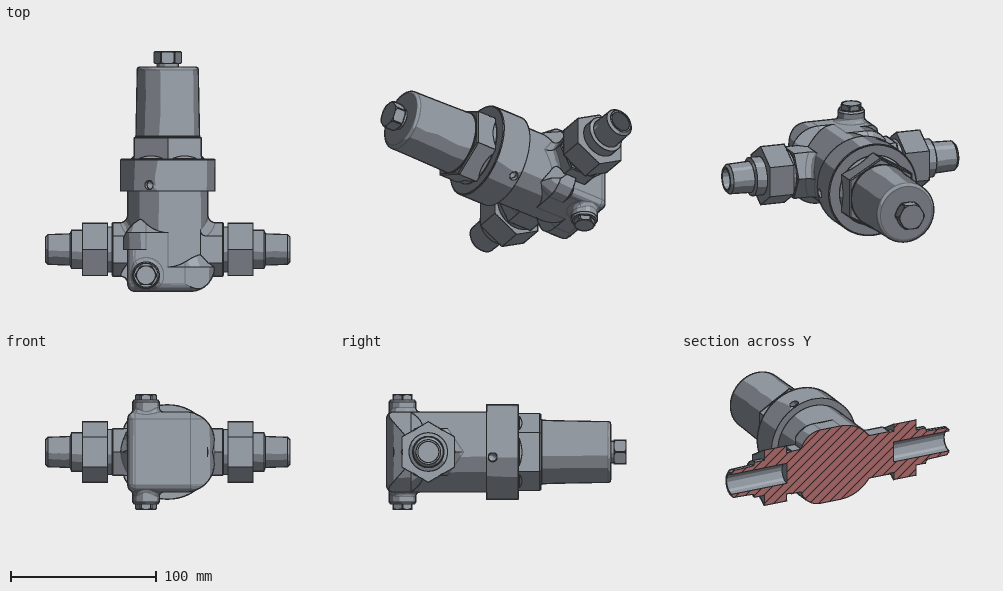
import cadquery as cq
import math


TOTAL_LENGTH_Y = 164.57

BODY_DIA = 55.0
RING_DIA = 65.0
RING_BASE_Y = 40.0
RING_TOP_Y = 62.0
RING_EDGE = 0.6
COLLAR_DIA = 49.5
COLLAR_HEIGHT = 0.5
COLLAR_SINK = 0.5
HOUSING_AF = 46.0
HOUSING_HEX_TOP_Y = 77.2
HOUSING_HEX_EDGE = 0.8
CAP_BASE_DIA = 43.8
CAP_FOOT_DIA = 44.4
CAP_FOOT_HEIGHT = 0.7
CAP_TOP_DIA = 42.0
CAP_TOP_Y = 125.2
CAP_ROUND = 2.0
STEM_DIA = 15.0
BOLT_AF = 16.8
BOLT_CORNER_DIA = 19.0
BOLT_BASE_Y = 127.5
BOLT_TOP_Y = 135.77
BOLT_EDGE = 0.8

VENT_DIA = 6.1
VENT_Y = 44.2
VENT_DEPTH = 4.0
VENT_COUNT = 3
VENT_START_ANGLE = 113.4

BODY_BOTTOM_Y = BOLT_TOP_Y - TOTAL_LENGTH_Y
HALF_DEPTH = BODY_DIA / 2
BODY_EDGE_ROUND = 5.0
INLET_BULGE_X = -31.0
INLET_BULGE_TOP_Y = 11.6
INLET_BULGE_RISE = 10.0
INLET_BULGE_ROUND = 16.0
INLET_BULGE_TAPER = 35.0
INLET_SHOULDER_Y = 6.0
INLET_SHOULDER_MID = (-26.5, 14.5)
INLET_CREST_X = -17.0
OUTLET_END_X = 32.0
OUTLET_TOP_Y = -12.0
OUTLET_RISE = 12.0
OUTLET_ROUND = 20.0
OUTLET_BOTTOM_ROUND = 16.5
OUTLET_TAPER = 38.0

TOTAL_LENGTH_X = 168.0
PORT_AF = 32.0
PORT_CHAMFER = 0.7
PORT_FILLET = 5.0
PORT_END_X = 38.3
NECK_DIA = 31.0
NUT_AF = 36.0
NUT_INNER_X = 41.2
NUT_OUTER_X = 58.6
TAIL_DIA = 26.5
TAIL_END_X = 67.0
TAIL_CONE_LENGTH = 1.1
THREAD_ROOT_DIA = 21.6
THREAD_END_DIA = 20.5
THREAD_CHAMFER = 1.8
BORE_DIA = 14.5

TOTAL_LENGTH_Z = 79.0
PLUG_X = -14.9
PLUG_Y = -17.7
BOSS_DIA = 18.3
BOSS_TOP_Z = 34.2
BOSS_FILLET = 3.0
WASHER_DIA = 16.5
WASHER_TOP_Z = 35.7
PLUG_AF = 13.0
PLUG_CORNER_DIA = 14.5
PLUG_EDGE = 0.8

JOINT_OVERLAP = 1.0
SEAM_MARGIN = 0.1
COS_30 = math.cos(math.radians(30))


def revolve_about_y(points):
    """Solid of revolution from (radius, y) points."""
    return cq.Workplane("XY").polyline(points).close().revolve(360, (0, 0), (0, 1))


def revolve_about_x(points):
    """Solid of revolution from (x, radius) points."""
    return cq.Workplane("XY").polyline(points).close().revolve(360, (0, 0), (1, 0))


def hexagon(plane, across_flats, start, end, corner_on_second_axis=False):
    """Hexagonal prism along the plane's normal, with a corner on its first or second axis."""
    prism = plane.workplane(offset=start).polygon(6, across_flats / COS_30).extrude(end - start)
    if corner_on_second_axis:
        axis = plane.plane.zDir
        prism = prism.rotate((0, 0, 0), axis.toTuple(), 90)
    return prism


def along_x():
    """Plane facing +X with Y and Z as its axes."""
    return cq.Workplane("YZ")


def along_y():
    """Plane facing +Y with Z and X as its axes."""
    return cq.Workplane("ZX")


def spring_housing():
    """Ring, hexagon, tapered cap and stem around the Y axis."""
    ring_r = RING_DIA / 2
    collar_r = COLLAR_DIA / 2
    collar_y = RING_TOP_Y + COLLAR_HEIGHT
    flat_r = HOUSING_AF / 2 - COLLAR_SINK
    cone_top_y = collar_y + collar_r - flat_r
    ring = revolve_about_y([
        (0, RING_BASE_Y), (ring_r, RING_BASE_Y),
        (ring_r, RING_TOP_Y - RING_EDGE), (ring_r - RING_EDGE, RING_TOP_Y),
        (collar_r, RING_TOP_Y), (collar_r, collar_y),
        (flat_r, cone_top_y), (0, cone_top_y),
    ])
    nut = hexagon(along_y(), HOUSING_AF, RING_TOP_Y, HOUSING_HEX_TOP_Y)
    nut = nut.faces(">Y").chamfer(HOUSING_HEX_EDGE)
    foot_y = HOUSING_HEX_TOP_Y - HOUSING_HEX_EDGE
    foot_top_y = HOUSING_HEX_TOP_Y + CAP_FOOT_HEIGHT
    cap = revolve_about_y([
        (0, foot_y), (CAP_FOOT_DIA / 2, foot_y),
        (CAP_FOOT_DIA / 2, foot_top_y), (CAP_BASE_DIA / 2, foot_top_y),
        (CAP_TOP_DIA / 2, CAP_TOP_Y), (0, CAP_TOP_Y),
    ])
    cap = cap.faces(">Y").edges().fillet(CAP_ROUND)
    stem_y = CAP_TOP_Y - JOINT_OVERLAP
    stem_length = BOLT_BASE_Y + JOINT_OVERLAP - stem_y
    stem = along_y().workplane(offset=stem_y).circle(STEM_DIA / 2).extrude(stem_length)
    return ring.union(nut).union(cap).union(stem)


def trimmed_head(head, corner_dia, start, end, edge, plane):
    """Hexagon head with its corners turned down and its end edges chamfered."""
    blank = plane.workplane(offset=start).circle(corner_dia / 2).extrude(end - start)
    return head.intersect(blank.edges().chamfer(edge))


def adjusting_bolt():
    """Hexagon head of the pressure setting bolt."""
    head = hexagon(along_y(), BOLT_AF, BOLT_BASE_Y, BOLT_TOP_Y, True)
    return trimmed_head(head, BOLT_CORNER_DIA, BOLT_BASE_Y, BOLT_TOP_Y, BOLT_EDGE, along_y())


def vent_holes():
    """Radial blind holes with a conical end around the ring."""
    radius = VENT_DIA / 2
    bottom = RING_DIA / 2 - VENT_DEPTH
    drill = revolve_about_x([
        (bottom - radius, 0), (bottom, radius), (RING_DIA, radius), (RING_DIA, 0),
    ]).translate((0, VENT_Y, 0))
    holes = cq.Workplane("XY")
    for index in range(VENT_COUNT):
        angle = VENT_START_ANGLE + index * 360 / VENT_COUNT
        holes = holes.add(drill.rotate((0, 0, 0), (0, 1, 0), -angle))
    return holes.combine()


def block(x_min, x_max, y_min, y_max):
    """Box spanning the full body depth in Z."""
    size = (x_max - x_min, y_max - y_min, 2 * HALF_DEPTH)
    centre = ((x_min + x_max) / 2, (y_min + y_max) / 2, 0)
    return cq.Workplane("XY").box(*size).translate(centre)


def rising_block(x_min, x_max, y_base, y_top, rise, taper, end_round, end_selector):
    """Block rounded at one X end, with a tapered top that runs out on the body cylinder."""
    straight = block(x_min, x_max, y_base, y_top)
    straight = straight.edges("|Y").edges(end_selector).fillet(end_round)
    crown = straight.faces(">Y").wires().toPending().workplane().extrude(rise, combine=False, taper=taper)
    return straight.union(crown)


def ported_cylinder():
    """Body cylinder with the two port hexagons blended into it."""
    bottom_y = BODY_BOTTOM_Y + BODY_EDGE_ROUND
    height = RING_BASE_Y - bottom_y
    cylinder = along_y().workplane(offset=bottom_y).circle(BODY_DIA / 2).extrude(height)
    ports = hexagon(along_x(), PORT_AF, -PORT_END_X, PORT_END_X)
    blended = cylinder.union(ports).edges("%ELLIPSE").fillet(PORT_FILLET)
    return blended.faces("<X or >X").chamfer(PORT_CHAMFER)


def inlet_bulge():
    """Raised chamber over the inlet port, rounded towards the ring."""
    bulge = rising_block(INLET_BULGE_X, -INLET_BULGE_X, 0, INLET_BULGE_TOP_Y, INLET_BULGE_RISE,
                         INLET_BULGE_TAPER, INLET_BULGE_ROUND, "<X")
    crest = (INLET_CREST_X, INLET_BULGE_TOP_Y + INLET_BULGE_RISE)
    outline = (cq.Workplane("XY").moveTo(0, 0).lineTo(INLET_BULGE_X, 0)
               .lineTo(INLET_BULGE_X, INLET_SHOULDER_Y)
               .threePointArc(INLET_SHOULDER_MID, crest).lineTo(0, crest[1]).close()
               .extrude(HALF_DEPTH, both=True))
    return bulge.intersect(outline)


def outlet_chamber():
    """Tapered top of the outlet chamber, running out on the cylinder."""
    root_y = OUTLET_TOP_Y - JOINT_OVERLAP
    outlet = rising_block(-OUTLET_END_X, OUTLET_END_X, root_y, OUTLET_TOP_Y, OUTLET_RISE,
                          OUTLET_TAPER, OUTLET_ROUND, ">X")
    return outlet.intersect(block(0, OUTLET_END_X, BODY_BOTTOM_Y, RING_BASE_Y))


def base_chamber():
    """Box-like lower body with rounded edges and a large outlet corner."""
    base = block(-HALF_DEPTH, OUTLET_END_X, BODY_BOTTOM_Y, OUTLET_TOP_Y)
    base = base.edges("|Z and >X and <Y").fillet(OUTLET_BOTTOM_ROUND)
    base = base.edges("|Y and <X").fillet(BODY_EDGE_ROUND)
    base = base.faces("<Y").edges("not(>X)").fillet(BODY_EDGE_ROUND)
    plan = block(2 * INLET_BULGE_X, OUTLET_END_X, BODY_BOTTOM_Y, OUTLET_TOP_Y)
    base = base.intersect(plan.edges("|Y and >X").fillet(OUTLET_ROUND))
    inlet_base = block(-HALF_DEPTH, 0, OUTLET_TOP_Y, 0).edges("|Y and <X").fillet(BODY_EDGE_ROUND)
    return base.union(inlet_base)


def bossed_base():
    """Lower body with a gauge boss filleted onto each Z face."""
    boss = cq.Workplane("XY").circle(BOSS_DIA / 2).extrude(BOSS_TOP_Z, both=True)
    boss = boss.translate((PLUG_X, PLUG_Y, 0))
    bossed = base_chamber().union(boss)
    reach = BOSS_DIA / 2 + SEAM_MARGIN
    for side in (-1, 1):
        near = (PLUG_X - reach, PLUG_Y - reach, side * HALF_DEPTH / 2)
        far = (PLUG_X + reach, PLUG_Y + reach, side * (HALF_DEPTH + SEAM_MARGIN))
        foot = cq.selectors.BoxSelector(near, far, boundingbox=True)
        bossed = bossed.edges(foot).fillet(BOSS_FILLET)
    return bossed


def valve_body():
    """Lower chambers joined with the ported cylinder."""
    chambers = bossed_base().union(inlet_bulge()).union(outlet_chamber())
    return chambers.union(ported_cylinder())


def pipe_connection():
    """Neck, union nut and threaded tail on the +X side."""
    neck = along_x().circle(NECK_DIA / 2).extrude(NUT_OUTER_X)
    nut = hexagon(along_x(), NUT_AF, NUT_INNER_X, NUT_OUTER_X, True)
    end_x = TOTAL_LENGTH_X / 2
    tail_r = TAIL_DIA / 2
    end_r = THREAD_END_DIA / 2
    tail = revolve_about_x([
        (NUT_INNER_X, 0), (NUT_INNER_X, tail_r),
        (TAIL_END_X - TAIL_CONE_LENGTH, tail_r),
        (TAIL_END_X, THREAD_ROOT_DIA / 2), (end_x - THREAD_CHAMFER, end_r),
        (end_x, end_r - THREAD_CHAMFER), (end_x, 0),
    ])
    bore = along_x().workplane(offset=NUT_INNER_X).circle(BORE_DIA / 2).extrude(end_x - NUT_INNER_X)
    return neck.union(nut).union(tail).cut(bore)


def gauge_plug():
    """Washer and hexagon plug on the +Z face."""
    top_z = TOTAL_LENGTH_Z / 2
    plane = cq.Workplane("XY")
    washer = (plane.workplane(offset=BOSS_TOP_Z).circle(BOSS_DIA / 2)
              .workplane(offset=WASHER_TOP_Z - BOSS_TOP_Z).circle(WASHER_DIA / 2).loft())
    head = hexagon(plane, PLUG_AF, BOSS_TOP_Z, top_z)
    head = trimmed_head(head, PLUG_CORNER_DIA, BOSS_TOP_Z, top_z, PLUG_EDGE, plane)
    return washer.union(head).translate((PLUG_X, PLUG_Y, 0))


outlet_side = pipe_connection()
front_plug = gauge_plug()

result = valve_body().union(spring_housing()).union(adjusting_bolt())
result = result.union(outlet_side).union(outlet_side.mirror("YZ"))
result = result.union(front_plug).union(front_plug.mirror("XY"))
result = result.cut(vent_holes())